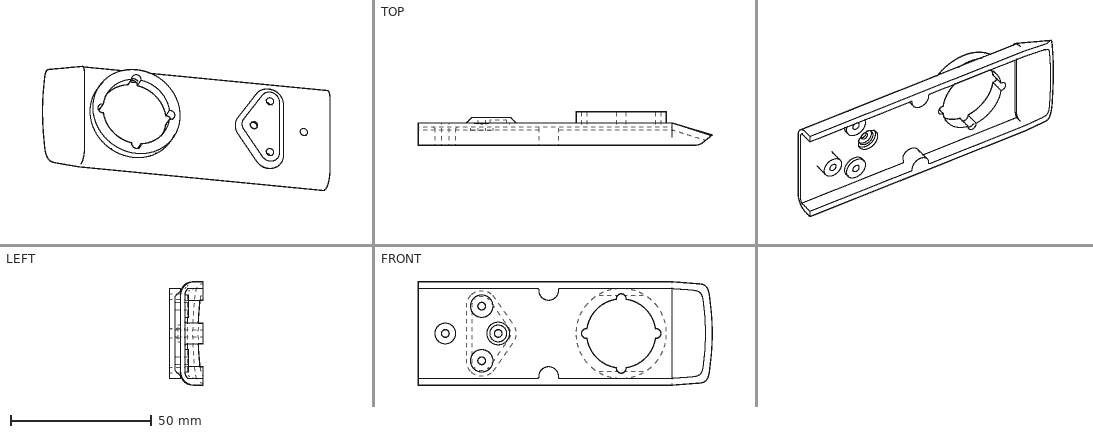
import cadquery as cq
import math


TOTAL_LENGTH = 105.04
CHANNEL_LENGTH = 90.6
HALF_WIDTH = 18.5
CHANNEL_DEPTH = 8.0
SHEET = 1.5
SIDE_WALL = 2.5
OUTER_RADIUS = 5.0
INNER_RADIUS = OUTER_RADIUS - SHEET
INNER_HALF_WIDTH = HALF_WIDTH - SIDE_WALL
FLOOR_Y = CHANNEL_DEPTH - SHEET

NOSE_STEP = 1.0
NOSE_FLOOR_Y = FLOOR_Y - NOSE_STEP
NOSE_INNER_RADIUS = 2.5
NOSE_BELOW = 5.0
TIP_APEX_Y = 3.7
TIP_BOW = 1.2
TIP_HALF_WIDTH = 17.4
TIP_CORNER_WIDTH = 3.9
TIP_CORNER_HEIGHT = 3.7
TIP_INNER_APEX_Y = 1.0
TIP_INNER_HALF_WIDTH = 15.0
FRONT_FACE_START_X = 100.4
FRONT_FACE_RADIUS = 4.0

OPENING_X = 72.5
OPENING_RADIUS = 12.3
COLLAR_RADIUS = 16.1
COLLAR_TOP_Y = 12.0
NOTCH_RADIUS = 1.7
NOTCH_REACH = 14.15
NOTCH_COUNT = 4

BUMP_X = 46.6
BUMP_RADIUS = 3.5
BUMP_REACH = 6.65
BUMP_ROOT_FILLET = 0.4
BUMP_ROOT_DEPTH = 1.0

SCREW_DIAMETER = 2.66
WASHER_X = 22.7
WASHER_OFFSET_Z = 9.75
WASHER_RADIUS = 4.0
WASHER_HEIGHT = 1.3
POST_X = 9.7
POST_RADIUS = 3.7
POST_ROOT_FILLET = 0.9
COUNTERBORE_X = 28.6
COUNTERBORE_RADIUS = 4.05
COUNTERBORE_END_Y = 8.0
INNER_BORE_RADIUS = 3.0
INNER_BORE_END_Y = 9.0

PAD_TOP_Y = 10.0
PAD_RADIUS = 5.5
PAD_NOSE_X = 29.5
PAD_CHAMFER = PAD_TOP_Y - CHANNEL_DEPTH


def disc(x, z, radius, y_start, y_end):
    """Cylinder along Y between two Y levels."""
    return cq.Workplane("XZ", origin=(x, y_start, z)).circle(radius).extrude(y_start - y_end)


def channel_profile(half_width, y_back, radius, length):
    """Bar with a flat open side on Y = 0 and two rounded edges along its back."""
    return (
        cq.Workplane("XY")
        .box(length, y_back, 2 * half_width, centered=(False, False, True))
        .edges("|X and >Y")
        .fillet(radius)
    )


def channel():
    outer = channel_profile(HALF_WIDTH, CHANNEL_DEPTH, OUTER_RADIUS, CHANNEL_LENGTH)
    bend = channel_profile(HALF_WIDTH - SHEET, FLOOR_Y, INNER_RADIUS, CHANNEL_LENGTH)
    between_walls = cq.Workplane("XY").box(
        CHANNEL_LENGTH, FLOOR_Y, 2 * INNER_HALF_WIDTH, centered=(False, False, True)
    )
    return outer.cut(bend.intersect(between_walls))


def nose_section(x, half_width, y_apex, bow, corner_width, corner_height):
    """Closed YZ wire with straight sides, smooth corners and a back that drops by bow."""
    y_back = y_apex - bow
    z_back = half_width - corner_width
    y_corner = y_back - corner_height
    edge_angle = 2 * math.atan2(bow, z_back)
    rise = math.sin(edge_angle)
    run = math.cos(edge_angle)
    section = (
        cq.Workplane("YZ", origin=(x, 0, 0))
        .moveTo(-NOSE_BELOW, -half_width)
        .lineTo(y_corner, -half_width)
        .spline([(y_corner, -half_width), (y_back, -z_back)], tangents=[(1, 0), (rise, run)])
    )
    if bow > 0:
        section = section.tangentArcPoint((y_apex, 0), relative=False)
        section = section.tangentArcPoint((y_back, z_back), relative=False)
    else:
        section = section.lineTo(y_apex, 0).lineTo(y_back, z_back)
    section = (
        section
        .spline([(y_back, z_back), (y_corner, half_width)], tangents=[(-rise, run), (-1, 0)])
        .lineTo(-NOSE_BELOW, half_width)
        .close()
    )
    return section.wires().val()


def nose_taper(root_half_width, root_y, root_radius, tip_half_width, tip_y):
    """Ruled solid from the channel end to the arched tip."""
    root = nose_section(CHANNEL_LENGTH, root_half_width, root_y, 0, root_radius, root_radius)
    tip = nose_section(TOTAL_LENGTH, tip_half_width, tip_y, TIP_BOW, TIP_CORNER_WIDTH, TIP_CORNER_HEIGHT)
    return cq.Workplane(obj=cq.Solid.makeLoft([root, tip], True))


def nose():
    outer = nose_taper(HALF_WIDTH, CHANNEL_DEPTH, OUTER_RADIUS, TIP_HALF_WIDTH, TIP_APEX_Y)
    inner = nose_taper(
        INNER_HALF_WIDTH, NOSE_FLOOR_Y, NOSE_INNER_RADIUS, TIP_INNER_HALF_WIDTH, TIP_INNER_APEX_Y
    )
    envelope = (
        cq.Workplane("XY")
        .moveTo(CHANNEL_LENGTH, 0)
        .lineTo(FRONT_FACE_START_X, 0)
        .lineTo(TOTAL_LENGTH, TIP_APEX_Y)
        .lineTo(TOTAL_LENGTH, CHANNEL_DEPTH)
        .lineTo(CHANNEL_LENGTH, CHANNEL_DEPTH)
        .close()
        .extrude(HALF_WIDTH, both=True)
        .edges(cq.selectors.NearestToPointSelector((FRONT_FACE_START_X, 0, 0)))
        .fillet(FRONT_FACE_RADIUS)
    )
    return outer.cut(inner).intersect(envelope)


def bump(side):
    """Half-round bump with filleted roots on the wall at side = +1 or -1."""
    center_z = HALF_WIDTH - BUMP_REACH + BUMP_RADIUS
    root_length = 2 * (BUMP_RADIUS + 2 * BUMP_ROOT_FILLET)
    root = (
        cq.Workplane("XY", origin=(BUMP_X, 0, INNER_HALF_WIDTH))
        .box(root_length, FLOOR_Y, BUMP_ROOT_DEPTH, centered=(True, False, False))
    )
    half_round = disc(BUMP_X, center_z, BUMP_RADIUS, 0, FLOOR_Y)
    outside = (
        cq.Workplane("XY", origin=(BUMP_X, 0, INNER_HALF_WIDTH + BUMP_ROOT_DEPTH))
        .box(root_length, FLOOR_Y, BUMP_REACH, centered=(True, False, False))
    )
    half_chord = math.sqrt(BUMP_RADIUS**2 - (INNER_HALF_WIDTH - center_z) ** 2)
    solid = root.union(half_round.cut(outside))
    for x in (BUMP_X - half_chord, BUMP_X + half_chord):
        corner = cq.selectors.NearestToPointSelector((x, FLOOR_Y / 2, INNER_HALF_WIDTH))
        solid = solid.edges(corner).fillet(BUMP_ROOT_FILLET)
    if side < 0:
        solid = solid.mirror("XY")
    return solid


def washers():
    upper = disc(WASHER_X, WASHER_OFFSET_Z, WASHER_RADIUS, FLOOR_Y - WASHER_HEIGHT, FLOOR_Y)
    return upper.union(upper.mirror("XY"))


def post():
    """Round post from the floor to Y = 0 with a concave fillet at its root."""
    fillet_start_y = FLOOR_Y - POST_ROOT_FILLET
    fillet_mid = POST_ROOT_FILLET * (1 - math.sqrt(0.5))
    return (
        cq.Workplane("XY", origin=(POST_X, 0, 0))
        .lineTo(POST_RADIUS, 0)
        .lineTo(POST_RADIUS, fillet_start_y)
        .threePointArc(
            (POST_RADIUS + fillet_mid, FLOOR_Y - fillet_mid),
            (POST_RADIUS + POST_ROOT_FILLET, FLOOR_Y),
        )
        .lineTo(0, FLOOR_Y)
        .close()
        .revolve(360, (0, 0, 0), (0, 1, 0))
    )


def pad():
    """Rounded triangle behind the washers and the counterbore, chamfered on its outer face."""
    return (
        cq.Workplane("XZ", origin=(0, FLOOR_Y, 0))
        .polyline([
            (WASHER_X, WASHER_OFFSET_Z),
            (PAD_NOSE_X, 0),
            (WASHER_X, -WASHER_OFFSET_Z),
        ])
        .close()
        .offset2D(PAD_RADIUS)
        .extrude(FLOOR_Y - PAD_TOP_Y)
        .faces(">Y")
        .chamfer(PAD_CHAMFER)
    )


def collar():
    return disc(OPENING_X, 0, COLLAR_RADIUS, CHANNEL_DEPTH, COLLAR_TOP_Y)


def opening():
    """Round through-opening with evenly spaced round notches in its rim."""
    cutter = disc(OPENING_X, 0, OPENING_RADIUS, 0, COLLAR_TOP_Y)
    notch_center = NOTCH_REACH - NOTCH_RADIUS
    for index in range(NOTCH_COUNT):
        angle = 2 * math.pi * index / NOTCH_COUNT
        x = OPENING_X + notch_center * math.cos(angle)
        z = notch_center * math.sin(angle)
        cutter = cutter.union(disc(x, z, NOTCH_RADIUS, 0, COLLAR_TOP_Y))
    return cutter


def screw_holes():
    """Through-holes on the four screw axes, one of them stepped from the floor side."""
    axes = [
        (POST_X, 0),
        (COUNTERBORE_X, 0),
        (WASHER_X, WASHER_OFFSET_Z),
        (WASHER_X, -WASHER_OFFSET_Z),
    ]
    cutter = disc(COUNTERBORE_X, 0, COUNTERBORE_RADIUS, FLOOR_Y, COUNTERBORE_END_Y)
    cutter = cutter.union(disc(COUNTERBORE_X, 0, INNER_BORE_RADIUS, FLOOR_Y, INNER_BORE_END_Y))
    for x, z in axes:
        cutter = cutter.union(disc(x, z, SCREW_DIAMETER / 2, 0, PAD_TOP_Y))
    return cutter


body = channel().union(nose())
for side in (1, -1):
    body = body.union(bump(side))
body = body.union(washers()).union(post()).union(pad()).union(collar())
result = body.cut(opening()).cut(screw_holes())